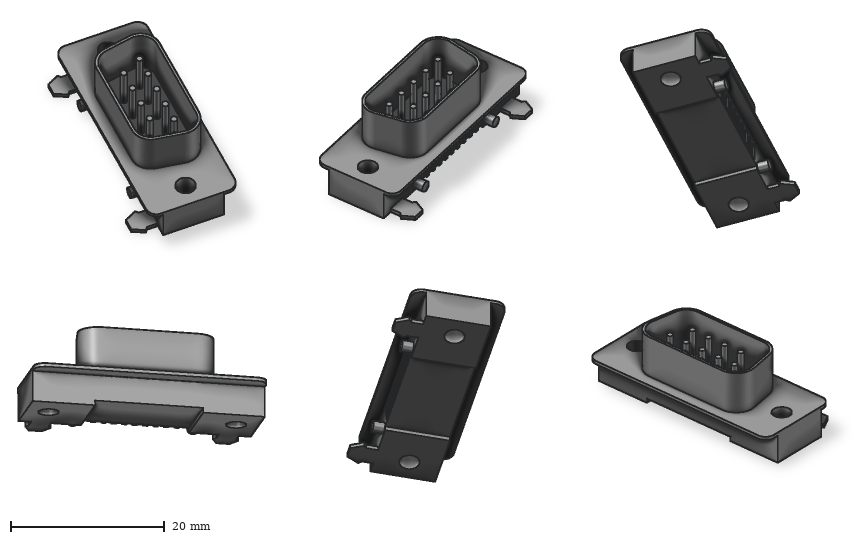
import cadquery as cq
import math


flange_length = 30.9
flange_width = 12.6
flange_thickness = 0.5
flange_corner_radius = 1.48
flange_top = 4.6
flange_bottom = flange_top - flange_thickness
flange_offset_x = 0.045
mount_hole_spacing = 24.97
mount_hole_diameter = 2.65

housing_front = -4.5
housing_back = 4.15
notch_length = 14.4
notch_depth = 0.65

shell_top = 10.6
shell_depth = 9.25
shell_mean_length = 17.43
shell_side_angle = 10.0
shell_corner_radius = 2.7
shell_wall = 0.4

pin_diameter = 0.85
pin_pitch = 2.78
pin_row_gap = 2.85
pin_top = 9.83
back_row_pins = 5
front_row_pins = 4

lead_count = back_row_pins + front_row_pins
lead_pitch = pin_pitch / 2
lead_width = 0.6
lead_thickness = 0.2
lead_bottom = 0.6
lead_top = 2.87

post_spacing = 16.0
post_diameter = 1.48
post_length = 1.5
post_height = 1.05

clip_thickness = 0.6
clip_neck_width = 2.65
clip_barb_width = 3.43
clip_tip_width = 1.7
clip_neck_end = -6.05
clip_barb_y = -6.43
clip_tip_y = -8.1


def mirrored(x):
    return (-x, x)


def box_between(x_range, y_range, z_range):
    sizes = [high - low for low, high in (x_range, y_range, z_range)]
    corner = cq.Vector(x_range[0], y_range[0], z_range[0])
    return cq.Workplane("XY").add(cq.Solid.makeBox(*sizes, pnt=corner))


def d_prism(inset, bottom, top):
    """Rounded trapezoid, wider towards +Y, moved inwards from the shell's outside by inset."""
    angle = math.radians(shell_side_angle)
    half_depth = shell_depth / 2 - inset
    half_length = shell_mean_length / 2 - inset / math.cos(angle)
    lean = half_depth * math.tan(angle)
    corners = [
        (-half_length + lean, -half_depth),
        (half_length - lean, -half_depth),
        (half_length + lean, half_depth),
        (-half_length - lean, half_depth),
    ]
    prism = cq.Workplane("XY").workplane(offset=bottom).polyline(corners).close().extrude(top - bottom)
    return prism.edges("|Z").fillet(shell_corner_radius - inset)


def make_flange():
    plate = cq.Workplane("XY").workplane(offset=flange_bottom).center(flange_offset_x, 0)
    plate = plate.rect(flange_length, flange_width).extrude(flange_thickness)
    return plate.edges("|Z").fillet(flange_corner_radius)


def make_housing():
    depth_range = (housing_front, housing_back)
    ends = (flange_offset_x - flange_length / 2, flange_offset_x + flange_length / 2)
    block = box_between(ends, depth_range, (0, flange_bottom))
    notch = box_between(mirrored(notch_length / 2), depth_range, (0, notch_depth))
    return block.cut(notch)


def make_mount_holes():
    centres = [(x, 0) for x in mirrored(mount_hole_spacing / 2)]
    return cq.Workplane("XY").pushPoints(centres).circle(mount_hole_diameter / 2).extrude(flange_top)


def make_pins():
    centres = []
    for count, y in ((back_row_pins, pin_row_gap / 2), (front_row_pins, -pin_row_gap / 2)):
        centres += [((i - (count - 1) / 2) * pin_pitch, y) for i in range(count)]
    pins = cq.Workplane("XY").workplane(offset=flange_bottom).pushPoints(centres)
    return pins.circle(pin_diameter / 2).extrude(pin_top - flange_bottom)


def make_lead(x):
    return box_between(
        (x - lead_width / 2, x + lead_width / 2),
        (housing_front - lead_thickness, housing_front),
        (lead_bottom, lead_top),
    )


def make_posts():
    centres = [(x, post_height) for x in mirrored(post_spacing / 2)]
    face = cq.Workplane("XZ", origin=(0, housing_front, 0)).pushPoints(centres)
    return face.circle(post_diameter / 2).extrude(post_length)


def make_clip(x):
    """Flat arrow-shaped tab: a straight neck, a barb, then a taper to a blunt tip."""
    right_side = [
        (clip_neck_width / 2, housing_front),
        (clip_neck_width / 2, clip_neck_end),
        (clip_barb_width / 2, clip_barb_y),
        (clip_tip_width / 2, clip_tip_y),
    ]
    left_side = [(-half_width, y) for half_width, y in reversed(right_side)]
    return cq.Workplane("XY").center(x, 0).polyline(right_side + left_side).close().extrude(clip_thickness)


result = make_housing().union(make_flange())
result = result.union(d_prism(0, flange_bottom, shell_top))
result = result.cut(d_prism(shell_wall, flange_bottom, shell_top))
result = result.cut(make_mount_holes())

result = result.union(make_pins()).union(make_posts())
for index in range(lead_count):
    result = result.union(make_lead((index - (lead_count - 1) / 2) * lead_pitch))
for clip_x in mirrored(mount_hole_spacing / 2):
    result = result.union(make_clip(clip_x))